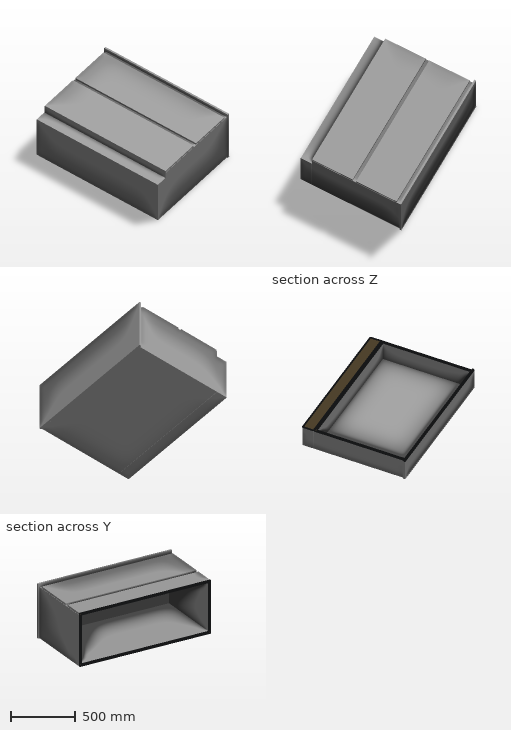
import cadquery as cq

WORKTOP_WIDTH = 1215.0
WORKTOP_HEIGHT = 470.0
WORKTOP_THICKNESS = 16.0
LEFT_OVERHANG = 15.0
RIGHT_OVERHANG = 10.0

LIP_RISE = 2.0
LIP_HEIGHT = 9.0

PLINTH_DEPTH = 97.0
PLINTH_GAP = 2.0
PLINTH_BODY_HEIGHT = 367.0
PLINTH_BOARD_THICKNESS = 18.0

ROWS = 2
COLUMNS = 2
FRONT_LENGTH = 360.0
FRONT_THICKNESS = 17.0
FRONT_SIDE_SETBACK = 2.0
FINGER_GAP = 30.0

CARCASS_HEIGHT = 440.0
WALL = 18.0

CABINET_LEFT = -WORKTOP_WIDTH / 2 + LEFT_OVERHANG
CABINET_WIDTH = WORKTOP_WIDTH - LEFT_OVERHANG - RIGHT_OVERHANG
INNER_LEFT = CABINET_LEFT + WALL
INNER_WIDTH = CABINET_WIDTH - 2 * WALL
ROW_PITCH = FRONT_LENGTH + FINGER_GAP
CARCASS_LENGTH = ROWS * ROW_PITCH
CARCASS_FOOT = PLINTH_DEPTH + PLINTH_GAP
WORKTOP_FOOT = CARCASS_FOOT + CARCASS_LENGTH
FRONT_WIDTH = (CABINET_WIDTH - 2 * FRONT_SIDE_SETBACK) / COLUMNS


def block(size, corner):
    """Box of the given (x, y, z) size, placed by its lowest corner."""
    return cq.Workplane("XY").box(*size, centered=False).translate(corner)


def make_worktop():
    left = -WORKTOP_WIDTH / 2
    slab = block((WORKTOP_WIDTH, WORKTOP_THICKNESS, WORKTOP_HEIGHT), (left, WORKTOP_FOOT, 0))
    lip = block((WORKTOP_WIDTH, LIP_RISE, LIP_HEIGHT), (left, WORKTOP_FOOT + WORKTOP_THICKNESS, 0))
    return slab.union(lip)


def make_carcass():
    outside = block((CABINET_WIDTH, CARCASS_LENGTH, CARCASS_HEIGHT), (CABINET_LEFT, CARCASS_FOOT, 0))
    cavity = block(
        (INNER_WIDTH, CARCASS_LENGTH - WALL, CARCASS_HEIGHT - WALL),
        (INNER_LEFT, CARCASS_FOOT + WALL, WALL),
    )
    return outside.cut(cavity)


def make_rail(row):
    """Rail between the carcass sides, filling the finger gap above one row."""
    foot = CARCASS_FOOT + row * ROW_PITCH + FRONT_LENGTH
    return block((INNER_WIDTH, FINGER_GAP, WALL), (INNER_LEFT, foot, CARCASS_HEIGHT - WALL))


def make_drawer_front(row, column):
    left = CABINET_LEFT + FRONT_SIDE_SETBACK + column * FRONT_WIDTH
    foot = CARCASS_FOOT + row * ROW_PITCH
    return block((FRONT_WIDTH, FRONT_LENGTH, FRONT_THICKNESS), (left, foot, CARCASS_HEIGHT))


def make_plinth_body():
    return block((CABINET_WIDTH, PLINTH_DEPTH, PLINTH_BODY_HEIGHT), (CABINET_LEFT, 0, 0))


def make_plinth_board():
    return block(
        (CABINET_WIDTH, PLINTH_DEPTH, PLINTH_BOARD_THICKNESS),
        (CABINET_LEFT, 0, PLINTH_BODY_HEIGHT),
    )


worktop = make_worktop()
carcass = make_carcass()
plinth_body = make_plinth_body()
plinth_board = make_plinth_board()
rails = [make_rail(row).val() for row in range(ROWS)]
drawer_fronts = [make_drawer_front(row, column).val() for row in range(ROWS) for column in range(COLUMNS)]

result = cq.Compound.makeCompound([
    worktop.val(),
    carcass.val(),
    plinth_body.val(),
    plinth_board.val(),
    *rails,
    *drawer_fronts,
])